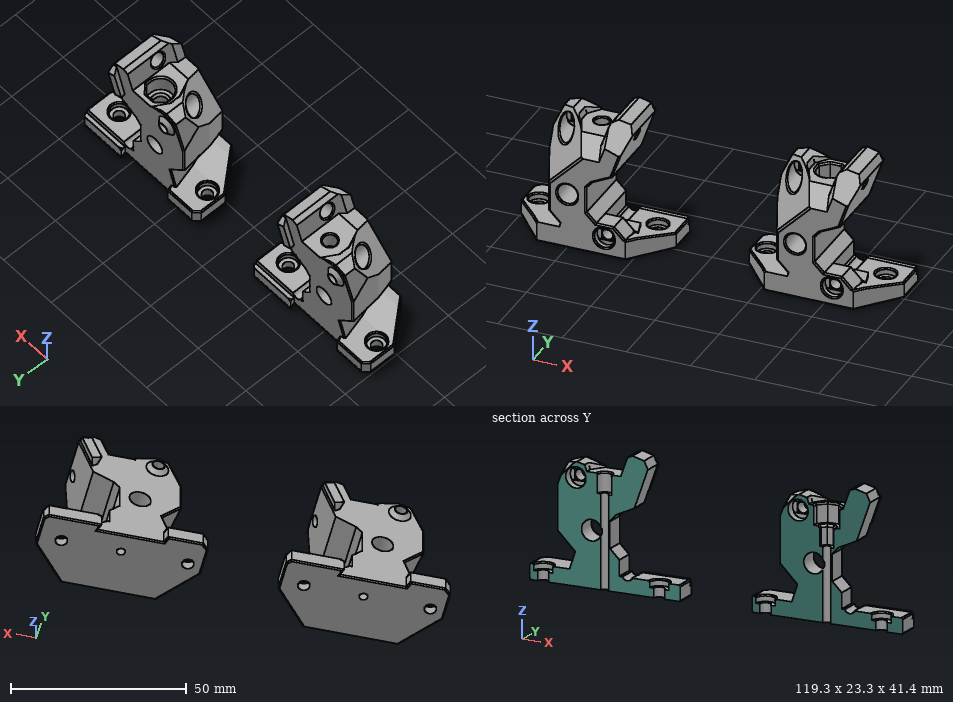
import cadquery as cq
import math


PITCH = 71.0
DEPTH = 23.3
BODY_DEPTH = 21.2
HEIGHT = 41.37
BIG = 120.0
EDGE_BREAK = 0.4
FRONT_CHAMFER = 0.45
TOUCH = 0.01
MOSTLY = 0.9
SUNK_Z = 1.0

LEFT_X = -0.15
RIGHT_X = 48.13
BACK_Z = 5.0
FRONT_Z = 6.3
STRIP_Y = 2.9
SHOULDER_Y = 12.25
FRONT_LEFT_X = 10.1
FRONT_RIGHT_X = 37.8
LEFT_CORNER = 1.9
RIGHT_CORNER = 1.3
NOTCH_LEFT_X = 12.0
NOTCH_RIGHT_X = 31.4
NOTCH_FLARE = 0.7
RAMP_DROP = 1.85

HEAD_X = 7.5
HEAD_WALL_Z = 26.6
HEAD_SHOULDER = (11.2, 36.1)
HEAD_CREST = (15.1, 37.25)
HEAD_STEP = (17.8, 36.55)
SIDE_BREAK = (10.2, 8.8)
SIDE_FRONT_X = 13.9
FACET_POINT = (13.9, 0.35, 20.4)
FACET_NORMAL = (-1, -1.1, 1)
UNDERSIDE_SUM = 24.65

SADDLE_Z = 34.75
SADDLE_LEFT_X = 22.0
RAMP_LEFT_X = 18.0
RAMP_TOP_Y = 6.9
RAMP_FOOT_Z = 30.1
SEAT_WALL_ANGLE = 20
SEAT_HEIGHT = 5.0
SEAT_LEFT_X = 18.2
SEAT_FRONT_CORNER_Y = 13.3
SEAT_BACK_CORNER_Y = 17.1
SEAT_BACK_X = 21.2
SEAT_FRONT_X = 26.0
SEAT_OVERRUN = 4.0

NECK_X = 13.1
NECK_SHIFT = 4.4
NECK_REACH = 15.0
NECK_LEAN = 0.34
THROAT_X = 25.6
THROAT_TOP = (27.4, 22.9)
THROAT_HIGH_Z = 20.9
THROAT_LOW_Z = 12.8
LOWER_BOSS_Z = 9.85
LOWER_BOSS_LEFT_X = 28.6
LOWER_BOSS_RIGHT_X = 34.1
EAR_START_Y = 6.5
EAR_END_Y = 11.7
EAR_X = 38.9
EAR_TAPER = 1.6

LEAN = math.radians(20)
LEAN_ACROSS = (math.cos(LEAN), 0, -math.sin(LEAN))
ARM_LEFT_X = 28.9
ARM_ROOT_Z = 28.0
ARM_SHOULDER_Z = 40.6
ARM_PEAK = (32.8, HEIGHT)
ARM_CREST_END = (36.5, 40.4)
ARM_RIGHT_TOP = (37.7, 37.9)
ARM_ELBOW = (33.4, 25.8)
ARM_TOP_CHAMFER = 6.6
ARM_FACET_DEPTH = 4.3
ARM_FACET_INSET = 2.2

RIB_ROOT = [(32.2, 29.5), (35.7, 39.6), (37.3, 38.9), (33.6, 28.3)]
RIB_BACK = [(31.4, 30.5), (34.3, 38.3), (37.0, 37.3), (34.2, 29.4)]

CLEARANCE_D = 3.4
FOOT_SCREW_X = (4.2, 41.25)
SCREW_Y = 15.05
FOOT_HEAD_D = 6.0
FOOT_HEAD_Z = 3.0
CAP_D = 6.25
ROD_X, ROD_Z = 19.65, 17.4
UPPER_X, UPPER_Z = 14.6, 32.45
UPPER_SEAT_Y = 17.6
LOWER_X, LOWER_Z = 31.1, 5.7
LOWER_SEAT_Y = 2.0
BRIDGE = 0.3
BOSS_ROOT_R = 3.25
BOSS_TIP_R = 1.85
CENTRE_X = 23.8
INSERT_D = 4.4
INSERT_DEPTH = 6.0
PILOT_D = 2.4
POCKET_D = 8.2
POCKET_DEPTH = 6.0
POCKET_CHAMFER = 0.5
POCKET_INSERT_CHAMFER = 0.7
ARM_INSERT_D = 4.7
ARM_INSERT_DEPTH = 5.0
ARM_HOLE_Y = 10.3
ARM_HOLE_Z = 38.0

BACKWARD = (0, 1, 0)
DOWN = (0, 0, -1)


def slab(outline, y_start, y_end):
    """Prism of an XZ outline between two y planes."""
    return cq.Workplane("XZ", origin=(0, y_start, 0)).polyline(outline).close().extrude(y_start - y_end)


def beyond(point, normal):
    """Block filling the side of a plane toward which its normal points."""
    return cq.Workplane(cq.Plane(origin=point, normal=normal)).rect(BIG, BIG).extrude(BIG)


def bore(start, direction, diameter, depth):
    """Round cutter."""
    cylinder = cq.Solid.makeCylinder(diameter / 2, depth, cq.Vector(*start), cq.Vector(*direction))
    return cq.Workplane(cylinder)


def mouth(start, direction, diameter):
    """Conical cutter that chamfers the mouth of a bore."""
    radius = diameter / 2
    cone = cq.Solid.makeCone(
        radius + EDGE_BREAK, radius, EDGE_BREAK, cq.Vector(*start), cq.Vector(*direction)
    )
    return cq.Workplane(cone)


def is_foot_rim(edge):
    """True for the outer top edges of the foot, leaving out the front edge and the cross folds."""
    middle = edge.Center()
    run = edge.tangentAt(0.5)
    on_top = middle.z > BACK_Z - TOUCH and abs(run.z) < MOSTLY
    along_x = abs(run.x) > MOSTLY
    return on_top and (not along_x or middle.y > DEPTH - TOUCH)


def foot():
    plan = [
        (FRONT_LEFT_X, 0),
        (FRONT_RIGHT_X, 0),
        (RIGHT_X, SHOULDER_Y),
        (RIGHT_X, DEPTH - RIGHT_CORNER),
        (RIGHT_X - RIGHT_CORNER, DEPTH),
        (NOTCH_RIGHT_X, DEPTH),
        (NOTCH_RIGHT_X + NOTCH_FLARE, BODY_DEPTH),
        (NOTCH_LEFT_X + NOTCH_FLARE, BODY_DEPTH),
        (NOTCH_LEFT_X, DEPTH),
        (LEFT_X + LEFT_CORNER, DEPTH),
        (LEFT_X, DEPTH - LEFT_CORNER),
        (LEFT_X, SHOULDER_Y),
    ]
    side = [(0, 0), (0, FRONT_Z), (STRIP_Y, FRONT_Z), (SHOULDER_Y, BACK_Z), (DEPTH, BACK_Z), (DEPTH, 0)]
    body = cq.Workplane("XY").polyline(plan).close().extrude(FRONT_Z)
    body = body.intersect(cq.Workplane("YZ", origin=(LEFT_X, 0, 0)).polyline(side).close().extrude(BIG))
    body = body.newObject([edge for edge in body.edges().vals() if is_foot_rim(edge)]).chamfer(EDGE_BREAK)
    body = body.faces("<Z").chamfer(EDGE_BREAK)
    groove = [
        (BODY_DEPTH, FRONT_Z),
        (BODY_DEPTH, BACK_Z - RAMP_DROP),
        (DEPTH, BACK_Z - EDGE_BREAK),
        (DEPTH, FRONT_Z),
    ]
    groove_start = cq.Workplane("YZ", origin=(NOTCH_RIGHT_X, 0, 0))
    return body.cut(groove_start.polyline(groove).close().extrude(BIG))


def neck_relief():
    """Oblique prism that undercuts the head and leaves the leaning neck wall."""
    overrun = 0.2
    neck_z = UNDERSIDE_SUM - NECK_X
    section = [
        cq.Vector(NECK_X, BODY_DEPTH, neck_z),
        cq.Vector(NECK_X - NECK_REACH, BODY_DEPTH, neck_z + NECK_REACH),
        cq.Vector(NECK_X - NECK_REACH, BODY_DEPTH, neck_z - NECK_REACH),
        cq.Vector(NECK_X - NECK_REACH * NECK_LEAN, BODY_DEPTH, neck_z - NECK_REACH),
    ]
    run = cq.Vector(NECK_SHIFT, -BODY_DEPTH, -NECK_SHIFT)
    wire = cq.Wire.makePolygon(section, close=True).translate(run * -overrun)
    return cq.Workplane(cq.Solid.extrudeLinear(wire, [], run * (1 + 2 * overrun)))


def seat():
    """Level seat whose left walls slope outward around the centre hole."""
    right_x = ARM_RIGHT_TOP[0] + SEAT_OVERRUN
    back_y = BODY_DEPTH + SEAT_OVERRUN
    wall_slope = (SEAT_BACK_X - SEAT_LEFT_X) / (BODY_DEPTH - SEAT_BACK_CORNER_Y)
    floor = [
        (SEAT_LEFT_X, SEAT_FRONT_CORNER_Y),
        (SEAT_LEFT_X, SEAT_BACK_CORNER_Y),
        (SEAT_BACK_X + SEAT_OVERRUN * wall_slope, back_y),
        (right_x, back_y),
        (right_x, -SEAT_OVERRUN),
        (SEAT_FRONT_X, -SEAT_OVERRUN),
    ]
    plane = cq.Workplane("XY", origin=(0, 0, SADDLE_Z))
    return plane.polyline(floor).close().extrude(SEAT_HEIGHT, taper=-SEAT_WALL_ANGLE)


def ramp_cut():
    """Wedge that slopes the saddle down to the front face."""
    profile = [(0, RAMP_FOOT_Z), (RAMP_TOP_Y, SADDLE_Z), (RAMP_TOP_Y, HEIGHT), (0, HEIGHT)]
    return cq.Workplane("YZ", origin=(RAMP_LEFT_X, 0, 0)).polyline(profile).close().extrude(BIG)


def is_back_rim(edge):
    """True for the back edges of the head along its left side and top."""
    middle = edge.Center()
    return middle.y > BODY_DEPTH - TOUCH and middle.z > BACK_Z and middle.x < HEAD_STEP[0]


def head():
    outline = [
        (HEAD_X, SUNK_Z),
        (HEAD_X, HEAD_WALL_Z),
        HEAD_SHOULDER,
        HEAD_CREST,
        HEAD_STEP,
        (SADDLE_LEFT_X, SADDLE_Z),
        (ARM_LEFT_X, SADDLE_Z),
        ARM_ELBOW,
        THROAT_TOP,
        (THROAT_X, THROAT_HIGH_Z),
        (THROAT_X, THROAT_LOW_Z),
        (LOWER_BOSS_LEFT_X, LOWER_BOSS_Z),
        (LOWER_BOSS_LEFT_X, SUNK_Z),
    ]
    body = slab(outline, 0, BODY_DEPTH)
    break_x, break_y = SIDE_BREAK
    body = body.cut(beyond((break_x, break_y, 0), (break_y - BODY_DEPTH, HEAD_X - break_x, 0)))
    body = body.cut(beyond((break_x, break_y, 0), (-break_y, break_x - SIDE_FRONT_X, 0)))
    body = body.cut(beyond(FACET_POINT, FACET_NORMAL))
    body = body.cut(ramp_cut()).cut(seat()).cut(neck_relief())
    back_edges = [edge for edge in body.edges().vals() if is_back_rim(edge)]
    return body.newObject(back_edges).chamfer(EDGE_BREAK)


def arm_left_x(z):
    return ARM_LEFT_X + (z - SADDLE_Z) * math.tan(LEAN)


def arm():
    outline = [
        (arm_left_x(ARM_ROOT_Z), ARM_ROOT_Z),
        (arm_left_x(ARM_SHOULDER_Z), ARM_SHOULDER_Z),
        ARM_PEAK,
        ARM_CREST_END,
        ARM_RIGHT_TOP,
        ARM_ELBOW,
        THROAT_TOP,
    ]
    body = slab(outline, 0, BODY_DEPTH)
    tip_point = (ARM_PEAK[0], ARM_TOP_CHAMFER, ARM_PEAK[1])
    body = body.cut(beyond(tip_point, (math.sin(LEAN), -1, math.cos(LEAN))))
    facet_slope = ARM_FACET_INSET / ARM_FACET_DEPTH
    facet_point = (ARM_LEFT_X, ARM_FACET_DEPTH, SADDLE_Z)
    return body.cut(beyond(facet_point, (-math.cos(LEAN), -facet_slope, math.sin(LEAN))))


def rib():
    root = cq.Workplane("XZ", origin=(0, BODY_DEPTH, 0)).polyline(RIB_ROOT).close()
    return root.workplane(offset=BODY_DEPTH - DEPTH).polyline(RIB_BACK).close().loft(ruled=True)


def lower_boss():
    """Raised block around the lower screw, with a wedge on its right flank."""
    slope_end_z = LOWER_BOSS_RIGHT_X + LOWER_BOSS_Z - FRONT_RIGHT_X
    block = [
        (THROAT_X, SUNK_Z),
        (THROAT_X, LOWER_BOSS_Z),
        (LOWER_BOSS_RIGHT_X, LOWER_BOSS_Z),
        (FRONT_RIGHT_X, slope_end_z),
        (FRONT_RIGHT_X, SUNK_Z),
    ]
    ear = [(THROAT_X, SUNK_Z), (THROAT_X, slope_end_z), (EAR_X, slope_end_z), (EAR_X, SUNK_Z)]
    flank = beyond((EAR_X, EAR_START_Y, 0), (EAR_END_Y - EAR_START_Y, EAR_TAPER, 0))
    front = slab(block, 0, EAR_START_Y)
    front = front.newObject([edge for edge in front.edges().vals() if is_front_rim(edge)])
    front = front.chamfer(FRONT_CHAMFER)
    return front.union(slab(ear, EAR_START_Y, EAR_END_Y).cut(flank))


def cone_boss():
    start = cq.Vector(UPPER_X, BODY_DEPTH, UPPER_Z)
    height = BOSS_ROOT_R - BOSS_TIP_R
    return cq.Workplane(cq.Solid.makeCone(BOSS_ROOT_R, BOSS_TIP_R, height, start, cq.Vector(*BACKWARD)))


def is_front_rim(edge):
    """True for the front face's edges along the throat, the left side and the big facet."""
    middle = edge.Center()
    return middle.y < TOUCH and FRONT_Z + FRONT_CHAMFER < middle.z < RAMP_FOOT_Z - TOUCH


def shell():
    """Bracket without its holes."""
    body = head().union(arm()).clean()
    body = body.newObject([edge for edge in body.edges().vals() if is_front_rim(edge)]).chamfer(FRONT_CHAMFER)
    return body.union(lower_boss()).union(foot()).union(rib()).union(cone_boss())


def cap_screw(x, z, seat_y):
    """Screw head bore from the front, two bridging steps and a clearance hole."""
    steps = cq.Workplane("XY", origin=(x, seat_y, z))
    slot = steps.box(CAP_D, 2 * BRIDGE, CLEARANCE_D)
    slot = slot.intersect(bore((x, 0, z), BACKWARD, CAP_D, DEPTH))
    square = steps.box(CLEARANCE_D, 4 * BRIDGE, CLEARANCE_D)
    cutter = bore((x, 0, z), BACKWARD, CAP_D, seat_y)
    return cutter.union(slot).union(square).union(bore((x, 0, z), BACKWARD, CLEARANCE_D, DEPTH))


def half_octagon_bore(top_z, diameter, depth, edge_break):
    """Bore that is round at the front and octagonal at the back, with a chamfered mouth."""

    def section(radius, z):
        flat = radius * math.tan(math.pi / 8)
        back = [(radius, 0), (radius, flat), (flat, radius), (-flat, radius), (-radius, flat), (-radius, 0)]
        plane = cq.Workplane("XY", origin=(CENTRE_X, SCREW_Y, z))
        return plane.polyline(back).threePointArc((0, -radius), (radius, 0)).close()

    radius = diameter / 2
    straight = section(radius, top_z - depth).extrude(depth)
    return straight.union(section(radius + edge_break, top_z).extrude(-edge_break, taper=45))


def cut_foot_screws(body):
    for x in FOOT_SCREW_X:
        top = (x, SCREW_Y, BACK_Z)
        body = body.cut(bore(top, DOWN, CLEARANCE_D, BACK_Z))
        body = body.cut(bore((x, SCREW_Y, FRONT_Z), DOWN, FOOT_HEAD_D, FRONT_Z - FOOT_HEAD_Z))
        body = body.cut(mouth(top, DOWN, FOOT_HEAD_D))
    return body


def cut_front_holes(body):
    body = body.cut(cap_screw(UPPER_X, UPPER_Z, UPPER_SEAT_Y))
    facet_rim = [
        edge
        for edge in body.edges().vals()
        if edge.geomType() not in ("LINE", "CIRCLE")
        and abs(edge.Center().x - UPPER_X) < CAP_D / 2
        and abs(edge.Center().z - UPPER_Z) < CAP_D / 2
        and edge.Center().y < UPPER_SEAT_Y - BRIDGE
    ]
    body = body.newObject(facet_rim).chamfer(EDGE_BREAK)
    body = body.cut(cap_screw(LOWER_X, LOWER_Z, LOWER_SEAT_Y))
    body = body.cut(mouth((LOWER_X, 0, LOWER_Z), BACKWARD, CAP_D))
    body = body.cut(bore((ROD_X, 0, ROD_Z), BACKWARD, CAP_D, DEPTH))
    return body.cut(mouth((ROD_X, 0, ROD_Z), BACKWARD, CAP_D))


def cut_arm_hole(body):
    start = (arm_left_x(ARM_HOLE_Z), ARM_HOLE_Y, ARM_HOLE_Z)
    body = body.cut(bore(start, LEAN_ACROSS, ARM_INSERT_D, ARM_INSERT_DEPTH))
    body = body.cut(mouth(start, LEAN_ACROSS, ARM_INSERT_D))
    return body.cut(bore(start, LEAN_ACROSS, CLEARANCE_D, DEPTH))


def bracket():
    return cut_arm_hole(cut_front_holes(cut_foot_screws(shell())))


def plain_bracket():
    """Bracket with a round insert hole in the saddle."""
    top = (CENTRE_X, SCREW_Y, SADDLE_Z)
    body = bracket().cut(bore(top, DOWN, INSERT_D, INSERT_DEPTH)).cut(mouth(top, DOWN, INSERT_D))
    return body.cut(bore(top, DOWN, PILOT_D, SADDLE_Z))


def pocket_bracket():
    """Bracket with a wide pocket above the insert hole."""
    floor_z = SADDLE_Z - POCKET_DEPTH
    body = bracket().cut(half_octagon_bore(SADDLE_Z, POCKET_D, POCKET_DEPTH, POCKET_CHAMFER))
    body = body.cut(half_octagon_bore(floor_z, INSERT_D, INSERT_DEPTH, POCKET_INSERT_CHAMFER))
    return body.cut(bore((CENTRE_X, SCREW_Y, floor_z), DOWN, PILOT_D, floor_z))


left_bracket = plain_bracket()
right_bracket = pocket_bracket().translate((PITCH, 0, 0))
result = cq.Compound.makeCompound([left_bracket.val(), right_bracket.val()])